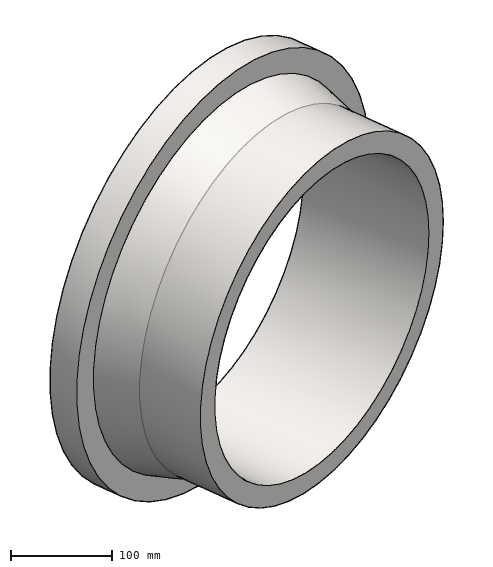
import cadquery as cq

flange_diameter = 482.0
hub_base_diameter = 427.0
neck_diameter = 400.0
bore_diameter = 352.5

total_length = 155.0
flange_thickness = 33.3
neck_length = 75.0
neck_start = total_length - neck_length

half_section = (
    cq.Workplane("XY")
    .moveTo(0, bore_diameter / 2)
    .lineTo(0, flange_diameter / 2)
    .lineTo(flange_thickness, flange_diameter / 2)
    .lineTo(flange_thickness, hub_base_diameter / 2)
    .lineTo(neck_start, neck_diameter / 2)
    .lineTo(total_length, neck_diameter / 2)
    .lineTo(total_length, bore_diameter / 2)
    .close()
)

result = half_section.revolve(360, (0, 0, 0), (1, 0, 0))